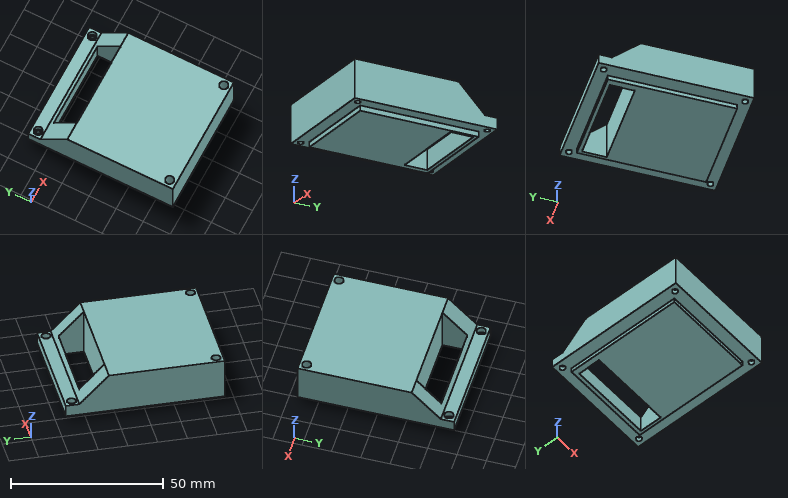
import cadquery as cq

width = 43.5
length = 53.5
total_height = 16.0

pad_height = 1.85
pad_margin = 4.55
body_height = total_height - pad_height

flange_height = 4.15
flange_length = 4.55
slope_length = body_height - flange_height
slope_foot_y = length - flange_length
slope_top_y = slope_foot_y - slope_length

window_left = 6.8
window_width = 31.1
window_back_y = length - 6.0
window_length = window_back_y - slope_top_y

hole_diameter = 2.0
counterbore_diameter = 3.0
hole_inset = 2.45
counterbore_floor_z = 2.0


def make_body():
    """Side profile extruded across the full width."""
    profile = [
        (0, 0),
        (length, 0),
        (length, flange_height),
        (slope_foot_y, flange_height),
        (slope_top_y, body_height),
        (0, body_height),
    ]
    return cq.Workplane("YZ").polyline(profile).close().extrude(width)


def make_pad():
    """Rectangular pad projecting below the body."""
    return cq.Workplane("XY").box(
        width - 2 * pad_margin, length - 2 * pad_margin, pad_height, centered=False
    ).translate((pad_margin, pad_margin, -pad_height))


def make_window():
    """Vertical cutter through the slope, body and pad."""
    return cq.Workplane("XY").box(
        window_width, window_length, total_height, centered=False
    ).translate((window_left, slope_top_y, -pad_height))


def make_corner_holes():
    """Through holes with counterbores sharing one floor level."""
    centres = [
        (x, y)
        for x in (hole_inset, width - hole_inset)
        for y in (hole_inset, length - hole_inset)
    ]
    holes = cq.Workplane("XY").pushPoints(centres).circle(hole_diameter / 2).extrude(body_height)
    counterbores = (
        cq.Workplane("XY", origin=(0, 0, counterbore_floor_z))
        .pushPoints(centres)
        .circle(counterbore_diameter / 2)
        .extrude(body_height - counterbore_floor_z)
    )
    return holes.union(counterbores)


result = make_body().union(make_pad()).cut(make_window()).cut(make_corner_holes())